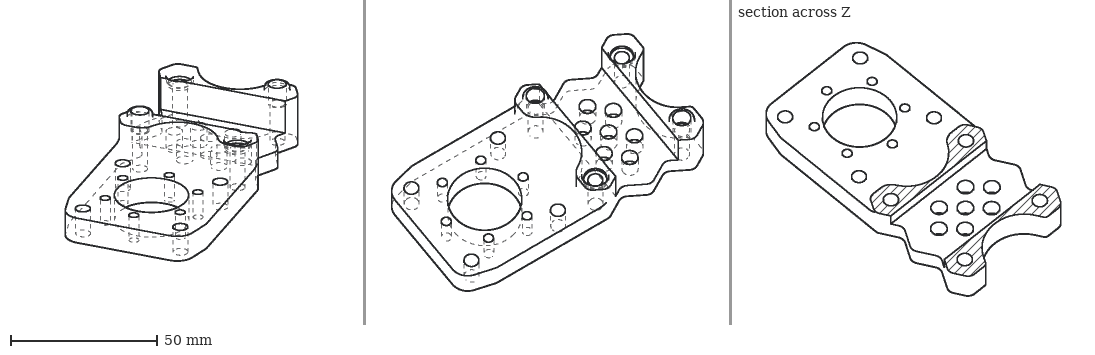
import cadquery as cq
import math

length = 101.81
half_width = 25.4
deck_height = 9.525
saddle_height = 6.75
post_height = 19.05
boss_rise = 3.175
clearance = 1.0

post_offset = 18.0
corner_fillet = 3.175
sin60 = math.sin(math.radians(60))
tan30 = math.tan(math.radians(30))
side_peak = half_width + corner_fillet * (1 / sin60 - 1)
rear_edge = post_offset + (side_peak - post_offset) * sin60
rear_corner_x = side_peak - (rear_edge - post_offset) * tan30
notch_y = post_offset / 2
notch_x = side_peak - notch_y * tan30
flank_rise = (side_peak - half_width) / tan30

front_edge = rear_edge - length
motor_y = front_edge + half_width
motor_bore = 25.4
motor_screw_count = 6
motor_screw_circle_radius = 16.0
motor_screw_hole = 3.4
taper_width = 3.175
taper_length = 12.7
plate_corner_fillet = 6.35

wall_face = 13.0
scallop_radius = 14.2875
scallop_y = 2 * scallop_radius
scallop_end_x = scallop_radius * sin60
scallop_end_y = scallop_y - scallop_radius / 2
rear_post_inner_fillet = 1.6
front_post_depth = 24.15
front_post_inner_fillet = 5.1
foot_fillet = 1.27

through_hole = 5.1
vent_hole = 5.65
vent_pitch = 12.7

boss_diameter = 8.75
boss_root_fillet = 1.15
boss_top_fillet = 1.27
boss_bore = boss_diameter - 2 * boss_top_fillet
socket_diameter = 9.3
socket_depth = 3.1
socket_rim_fillet = 1.27
socket_floor_fillet = 0.65
socket_step_depth = 4.25


def mirrored(points):
    return points + [(-x, y) for x, y in points]


def square_points(offset, center_y):
    return [(sx * offset, center_y + sy * offset) for sx in (-1, 1) for sy in (-1, 1)]


def round_upright_edges(body, points, radius):
    """Fillet the vertical edges that stand at the given X, Y points."""
    mid_height = body.val().BoundingBox().center.z
    edges = []
    for x, y in points:
        nearest = cq.selectors.NearestToPointSelector((x, y, mid_height))
        edges.append(body.edges("|Z").edges(nearest).val())
    return body.newObject(edges).fillet(radius)


def make_block():
    """Full-height block: wavy sides at the rear, straight sides and tapered corners at the front."""
    wavy_side = [
        (rear_corner_x, rear_edge),
        (side_peak, post_offset),
        (notch_x, notch_y),
        (side_peak, 0),
        (notch_x, -notch_y),
        (half_width, flank_rise - post_offset),
    ]
    plate_side = [
        (half_width, front_edge + taper_length),
        (half_width - taper_width, front_edge),
    ]
    right_side = wavy_side + plate_side
    left_side = [(-x, y) for x, y in reversed(right_side)]
    block = cq.Workplane("XY").polyline(right_side + left_side).close().extrude(post_height)
    block = round_upright_edges(block, mirrored(wavy_side), corner_fillet)
    return round_upright_edges(block, mirrored(plate_side), plate_corner_fillet)


def cut_rear_scallop(body):
    """Open the rear wall between the two rear posts."""
    mouth_x = scallop_end_x + (rear_edge - scallop_end_y) * tan30
    opening = (
        cq.Workplane("XY")
        .moveTo(-mouth_x, rear_edge)
        .lineTo(-scallop_end_x, scallop_end_y)
        .threePointArc((0, scallop_y - scallop_radius), (scallop_end_x, scallop_end_y))
        .lineTo(mouth_x, rear_edge)
        .close()
        .extrude(post_height)
    )
    mouth_corners = mirrored([(mouth_x, rear_edge)])
    return round_upright_edges(body.cut(opening), mouth_corners, rear_post_inner_fillet)


def saddle_space(floor):
    """Open space between the two walls, above the given height."""
    space = cq.Workplane("XY").box(
        2 * side_peak, 2 * wall_face, post_height + boss_rise, centered=(True, True, False))
    return space.translate((0, 0, floor))


def cut_deck(body):
    """Clear the space above the motor plate, leaving a filleted foot around the front wall."""
    inner_corner = (scallop_end_x + (front_post_depth - scallop_end_y) * tan30, -front_post_depth)
    outer_corner = (side_peak - (front_post_depth - post_offset) * tan30, -front_post_depth)
    flank_end = (half_width, -post_offset - flank_rise)
    outside_x = half_width + plate_corner_fillet
    outside_y = front_edge - plate_corner_fillet
    right_side = [
        inner_corner,
        outer_corner,
        flank_end,
        (half_width, -wall_face),
        (outside_x, -wall_face),
        (outside_x, outside_y),
    ]
    outline = cq.Workplane("XY").workplane(offset=deck_height).moveTo(-scallop_end_x, -scallop_end_y)
    outline = outline.threePointArc((0, scallop_radius - scallop_y), (scallop_end_x, -scallop_end_y))
    for x, y in right_side:
        outline = outline.lineTo(x, y)
    for x, y in reversed(right_side):
        outline = outline.lineTo(-x, y)
    space = outline.close().extrude(post_height)
    space = round_upright_edges(space, mirrored([inner_corner]), front_post_inner_fillet)
    space = round_upright_edges(space, mirrored([outer_corner, flank_end]), corner_fillet)
    return body.cut(space.faces("<Z").edges().fillet(foot_fillet))


def arc_middle(center_r, center_z, radius, angle):
    """Point of a profile arc at the given angle around its centre, in degrees."""
    turn = math.radians(angle)
    return (center_r + radius * math.cos(turn), center_z + radius * math.sin(turn))


def revolve_on_post(profile, x, y):
    """Turn a radius-height profile around the axis of a post; height 0 is the post top."""
    return profile.close().revolve(360, (0, 0, 0), (0, 1, 0)).translate((x, y, post_height))


def add_boss(body, x, y):
    """Locating boss with a flared root, a rounded top and a wider bore above the through hole."""
    radius = boss_diameter / 2
    root_radius = radius + boss_root_fillet
    shoulder = boss_rise - boss_top_fillet
    profile = (
        cq.Workplane("XZ")
        .lineTo(root_radius, 0)
        .threePointArc(
            arc_middle(root_radius, boss_root_fillet, boss_root_fillet, 225), (radius, boss_root_fillet))
        .lineTo(radius, shoulder)
        .threePointArc(
            arc_middle(radius - boss_top_fillet, shoulder, boss_top_fillet, 45),
            (radius - boss_top_fillet, boss_rise))
        .lineTo(0, boss_rise)
    )
    boss = revolve_on_post(profile, x, y).cut(saddle_space(saddle_height))
    bore_floor = post_height - socket_step_depth
    bore = cq.Workplane("XY").workplane(offset=bore_floor).center(x, y).circle(boss_bore / 2)
    return body.union(boss).cut(bore.extrude(socket_step_depth + boss_rise))


def cut_socket(body, x, y):
    """Stepped socket for a boss: rounded rim, rounded ledge and a narrower recess below."""
    radius = socket_diameter / 2
    rim_radius = radius + socket_rim_fillet
    ledge_radius = radius - socket_floor_fillet
    wall_bottom = socket_floor_fillet - socket_depth
    profile = (
        cq.Workplane("XZ")
        .lineTo(rim_radius, 0)
        .threePointArc(
            arc_middle(rim_radius, -socket_rim_fillet, socket_rim_fillet, 135), (radius, -socket_rim_fillet))
        .lineTo(radius, wall_bottom)
        .threePointArc(
            arc_middle(ledge_radius, wall_bottom, socket_floor_fillet, -45), (ledge_radius, -socket_depth))
        .lineTo(ledge_radius, -socket_step_depth)
        .lineTo(0, -socket_step_depth)
    )
    return body.cut(revolve_on_post(profile, x, y))


def cut_holes(body, points, diameter):
    """Round holes through the full height of the part."""
    holes = cq.Workplane("XY").workplane(offset=-clearance).pushPoints(points).circle(diameter / 2)
    return body.cut(holes.extrude(post_height + boss_rise + 2 * clearance))


result = make_block()
result = cut_rear_scallop(result)
result = result.cut(saddle_space(saddle_height))
result = cut_deck(result)
for side in (-1, 1):
    result = add_boss(result, side * post_offset, side * post_offset)
    result = cut_socket(result, side * post_offset, -side * post_offset)

vent_points = [(0, 0), (-vent_pitch, 0), (vent_pitch, 0)] + square_points(vent_pitch / 2, 0)
motor_screw_angles = [2 * math.pi * i / motor_screw_count for i in range(motor_screw_count)]
motor_screw_points = [
    (motor_screw_circle_radius * math.sin(a), motor_y + motor_screw_circle_radius * math.cos(a))
    for a in motor_screw_angles
]
result = cut_holes(result, vent_points, vent_hole)
result = cut_holes(result, square_points(post_offset, 0), through_hole)
result = cut_holes(result, square_points(post_offset, motor_y), through_hole)
result = cut_holes(result, motor_screw_points, motor_screw_hole)
result = cut_holes(result, [(0, motor_y)], motor_bore)